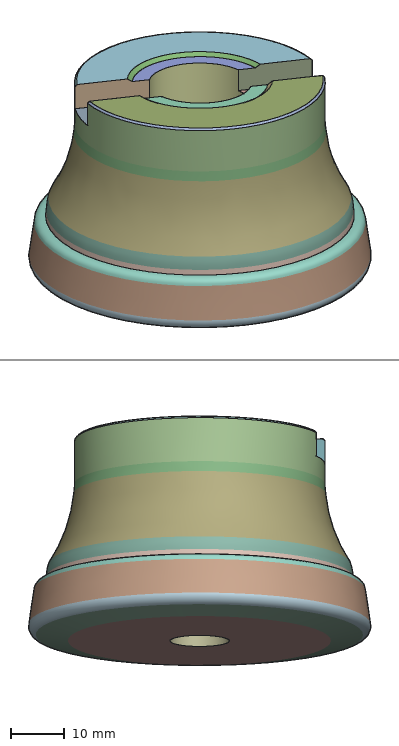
import cadquery as cq
import math

height = 38.1
foot_radius = 31.7
foot_height = 10.9

side_taper = math.radians(8.3)
underside_slope = math.radians(10.4)
lower_edge_radius = 1.7
side_bottom_z = 3.05
side_top_z = 9.6
underside_flat_radius = 24.35
screw_hole_diameter = 11.0

neck_radius = 46.45 / 2
neck_bottom_z = 29.45
flare_top = (23.4, 27.55)
flare_bottom = (28.05, 14.35)
skirt_radius = 57.0 / 2
skirt_top_z = 11.85
skirt_bottom_radius = skirt_radius + (skirt_top_z - foot_height) * math.tan(side_taper)
bore_diameter = 19.05
neck_edge_chamfer = 0.4

recess_top_diameter = 26.9
recess_floor_diameter = 25.1
recess_depth = 0.65
slot_width = 8.25
slot_depth = 4.8


def revolve_about_z(profile):
    """Turn a closed (radius, z) profile around the Z axis."""
    return profile.close().revolve(360, (0, 0, 0), (0, 1, 0))


def make_foot():
    arc_center_r = foot_radius - lower_edge_radius
    arc_center_z = side_bottom_z - lower_edge_radius * math.sin(side_taper)
    side_bottom = (arc_center_r + lower_edge_radius * math.cos(side_taper), side_bottom_z)
    underside_rim = (
        arc_center_r + lower_edge_radius * math.sin(underside_slope),
        arc_center_z - lower_edge_radius * math.cos(underside_slope),
    )
    side_top = (side_bottom[0] - (side_top_z - side_bottom_z) * math.tan(side_taper), side_top_z)
    side_direction = (-math.sin(side_taper), math.cos(side_taper))
    inward = (-1, 0)
    profile = (
        cq.Workplane("XZ")
        .moveTo(0, 0)
        .lineTo(underside_flat_radius, 0)
        .lineTo(*underside_rim)
        .threePointArc((foot_radius, arc_center_z), side_bottom)
        .lineTo(*side_top)
        .spline([(skirt_bottom_radius, foot_height)], tangents=[side_direction, inward], includeCurrent=True)
        .lineTo(0, foot_height)
    )
    screw_hole = cq.Workplane("XY").circle(screw_hole_diameter / 2).extrude(foot_height)
    return revolve_about_z(profile).cut(screw_hole)


def make_bell_blank():
    profile = (
        cq.Workplane("XZ")
        .moveTo(0, height)
        .lineTo(neck_radius - neck_edge_chamfer, height)
        .lineTo(neck_radius, height - neck_edge_chamfer)
        .lineTo(neck_radius, neck_bottom_z)
        .lineTo(*flare_top)
        .tangentArcPoint(flare_bottom, relative=False)
        .threePointArc(shoulder_midpoint(), (skirt_radius, skirt_top_z))
        .lineTo(skirt_bottom_radius, foot_height)
        .lineTo(0, foot_height)
    )
    return revolve_about_z(profile)


def shoulder_midpoint():
    """Middle of the shoulder arc, which runs vertically into the skirt."""
    run = skirt_radius - flare_bottom[0]
    rise = flare_bottom[1] - skirt_top_z
    radius = (run**2 + rise**2) / (2 * run)
    half_angle = math.asin(rise / radius) / 2
    return (
        skirt_radius - radius * (1 - math.cos(half_angle)),
        skirt_top_z + radius * math.sin(half_angle),
    )


def make_bell():
    bore = (
        cq.Workplane("XY", origin=(0, 0, foot_height))
        .circle(bore_diameter / 2)
        .extrude(height - foot_height)
    )
    recess = revolve_about_z(
        cq.Workplane("XZ")
        .moveTo(0, height - recess_depth)
        .lineTo(recess_floor_diameter / 2, height - recess_depth)
        .lineTo(recess_top_diameter / 2, height)
        .lineTo(0, height)
    )
    slot = (
        cq.Workplane("XY", origin=(0, 0, height - slot_depth))
        .rect(slot_width, 2 * skirt_radius)
        .extrude(slot_depth)
    )
    return make_bell_blank().cut(bore).cut(recess).cut(slot)


foot = make_foot()
bell = make_bell()

result = cq.Compound.makeCompound([foot.val(), bell.val()])